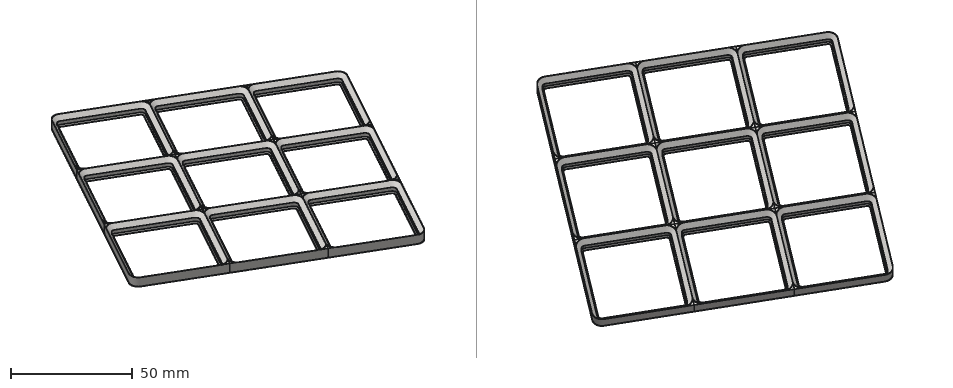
import cadquery as cq

plate_size = 126.0
cells_per_side = 3
cell_pitch = plate_size / cells_per_side
plate_height = 4.7
corner_radius = 4.0

lower_slope = 0.7
upper_slope = 2.1
band_bottom = lower_slope
band_top = plate_height - upper_slope

band_inset = upper_slope
floor_inset = upper_slope + lower_slope


def opening_outline(inset):
    """Rounded square set in from the cell boundary, concentric with the rim's corners."""
    side = cell_pitch - 2 * inset
    return cq.Sketch().rect(side, side).vertices().fillet(corner_radius - inset)


def opening_layer(bottom_z, bottom_inset, top_z, top_inset):
    """Straight-sided layer of the opening between two heights."""
    return (
        cq.Workplane("XY")
        .placeSketch(
            opening_outline(bottom_inset).moved(cq.Location(cq.Vector(0, 0, bottom_z))),
            opening_outline(top_inset).moved(cq.Location(cq.Vector(0, 0, top_z))),
        )
        .loft(ruled=True)
    )


def make_opening():
    """Through opening that widens upward in two slopes with an upright band between them."""
    lower = opening_layer(0, floor_inset, band_bottom, band_inset)
    band = opening_layer(band_bottom, band_inset, band_top, band_inset)
    upper = opening_layer(band_top, band_inset, plate_height, 0)
    return lower.union(band).union(upper)


def make_plate_blank():
    """Square slab with the four rounded plate corners."""
    return (
        cq.Workplane("XY")
        .rect(plate_size, plate_size)
        .extrude(plate_height)
        .edges("|Z")
        .fillet(corner_radius)
    )


def make_frame(column, row, plate_blank, opening):
    """One cell of the grid: its square share of the slab, less the opening."""
    middle = (cells_per_side - 1) / 2
    center = ((column - middle) * cell_pitch, (row - middle) * cell_pitch, 0)
    cell_block = (
        cq.Workplane("XY")
        .rect(cell_pitch, cell_pitch)
        .extrude(plate_height)
        .translate(center)
    )
    return cell_block.intersect(plate_blank).cut(opening.translate(center)).solids()


plate_blank = make_plate_blank()
opening = make_opening()
frames = [
    make_frame(column, row, plate_blank, opening)
    for column in range(cells_per_side)
    for row in range(cells_per_side)
]

result = cq.Compound.makeCompound([frame.val() for frame in frames])